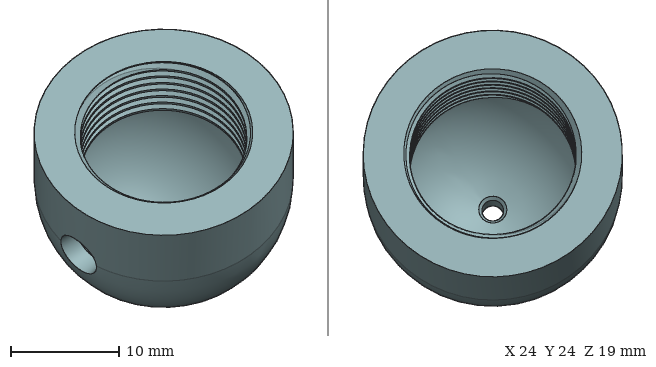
import cadquery as cq
import math

outer_radius = 12.0
collar_height = 7.0

cavity_radius = 10.0

pitch = 1.0
minor_radius = 15.4 / 2
thread_angle = 60.0
flank_slope = math.tan(math.radians(thread_angle / 2))
crest_width = pitch / 4
root_width = pitch / 8
thread_depth = (pitch - crest_width - root_width) / 2 / flank_slope
major_radius = minor_radius + thread_depth

end_turns = 2
groove_start_z = (0.5 - end_turns) * pitch
groove_turns = math.ceil(collar_height / pitch) + end_turns
groove_overlap = 0.1
bore_overrun = (end_turns + 1) * pitch

drain_radius = 1.0
drain_chamfer = 0.3

side_hole_mouth_radius = 2.23
side_hole_mouth_z = -0.15
side_hole_slope = 15.0
side_hole_half_taper = 6.0
side_hole_reach = 6.0

overrun = 1.0


def revolve_about_z(half_outline):
    """Close an XZ half outline and turn it once around the Z axis."""
    return half_outline.close().revolve(360, (0, 0, 0), (0, 1, 0))


def make_dome():
    """Hemispherical shell below Z = 0."""
    return revolve_about_z(
        cq.Workplane("XZ")
        .moveTo(0, -outer_radius)
        .radiusArc((outer_radius, 0), -outer_radius)
        .lineTo(cavity_radius, 0)
        .radiusArc((0, -cavity_radius), cavity_radius)
    )


def make_bore():
    """Plain cylinder at the minor diameter, longer than the groove at both ends."""
    bottom = cq.Workplane("XY").workplane(offset=-bore_overrun)
    return bottom.circle(minor_radius).extrude(collar_height + 2 * bore_overrun)


def make_lead_in():
    """45 degree cone that opens the thread to its major diameter at the collar top."""
    return revolve_about_z(
        cq.Workplane("XZ")
        .moveTo(0, collar_height + overrun)
        .lineTo(major_radius + overrun, collar_height + overrun)
        .lineTo(0, collar_height - major_radius)
    )


def make_thread_groove():
    """Right-handed helical groove; at the +X side its ridges are centred on whole pitches."""
    inner_radius = minor_radius - groove_overlap
    inner_half_width = (pitch - crest_width) / 2 + groove_overlap * flank_slope
    root_half_width = root_width / 2
    helix = cq.Wire.makeHelix(pitch, groove_turns * pitch, minor_radius)
    profile = (
        cq.Workplane("XZ")
        .moveTo(inner_radius, -inner_half_width)
        .lineTo(major_radius, -root_half_width)
        .lineTo(major_radius, root_half_width)
        .lineTo(inner_radius, inner_half_width)
        .close()
    )
    groove = profile.sweep(cq.Workplane(helix), isFrenet=True)
    return groove.translate((0, 0, groove_start_z))


def make_drain_hole():
    """Vertical hole below the cavity, opened by a chamfer where it meets the sphere."""
    mouth_radius = drain_radius + drain_chamfer
    mouth_z = -math.sqrt(cavity_radius**2 - mouth_radius**2)
    return revolve_about_z(
        cq.Workplane("XZ")
        .moveTo(0, -outer_radius - overrun)
        .lineTo(drain_radius, -outer_radius - overrun)
        .lineTo(drain_radius, mouth_z - drain_chamfer)
        .lineTo(mouth_radius, mouth_z)
        .lineTo(0, mouth_z)
    )


def make_side_hole():
    """Sloping cone that narrows from the outer wall to the cavity."""
    slope = math.radians(side_hole_slope)
    taper = math.tan(math.radians(side_hole_half_taper))
    inward = cq.Vector(0, math.cos(slope), -math.sin(slope))
    mouth = cq.Vector(0, -outer_radius, side_hole_mouth_z)
    outer_end_radius = side_hole_mouth_radius + overrun * taper
    inner_end_radius = side_hole_mouth_radius - side_hole_reach * taper
    cone = cq.Solid.makeCone(
        outer_end_radius,
        inner_end_radius,
        side_hole_reach + overrun,
        mouth - inward * overrun,
        inward,
    )
    return cq.Workplane(cone)


def make_collar():
    """Straight threaded ring above Z = 0."""
    thread_cutter = make_bore().union(make_thread_groove())
    blank = cq.Workplane("XY").circle(outer_radius).extrude(collar_height)
    return blank.cut(thread_cutter).cut(make_lead_in())


result = (
    make_dome()
    .union(make_collar())
    .cut(make_drain_hole())
    .cut(make_side_hole())
)